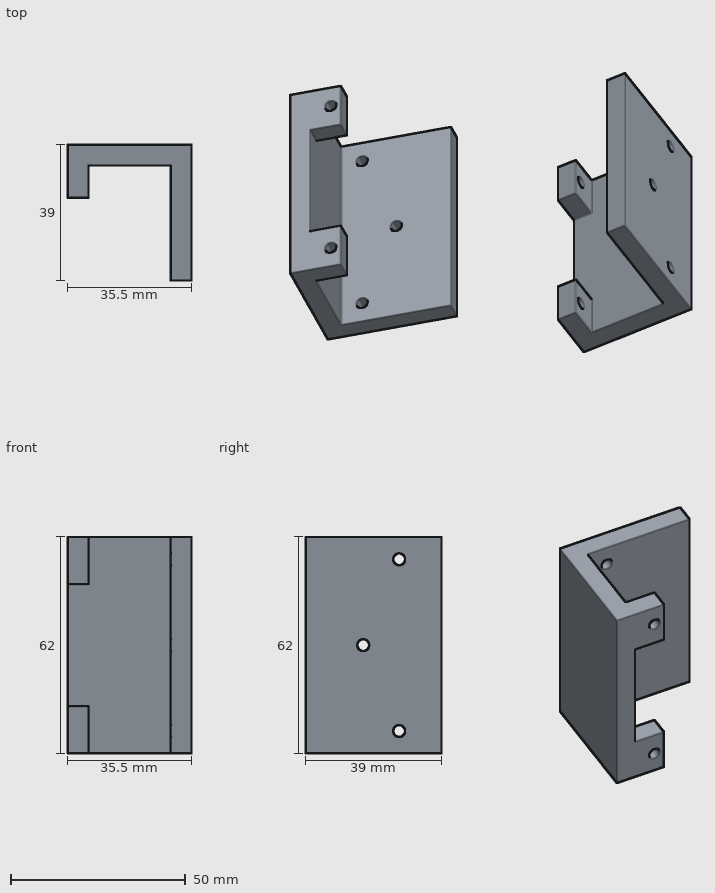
import cadquery as cq

WIDTH = 35.5
DEPTH = 39.0
HEIGHT = 62.0

WALL = 6.0
LIP_DEPTH = 15.3
LIP_HEIGHT = 13.5

HOLE_DIAMETER = 3.33
CORNER_HOLE_SETBACK = 12.2
CORNER_HOLE_END_DISTANCE = 6.4
MIDDLE_HOLE_SETBACK = 22.5

EDGE_RADIUS = 0.2


def make_channel():
    """J-shaped profile in XY, extruded over the full height; back face at Y = DEPTH."""
    outline = [
        (0, DEPTH),
        (WIDTH, DEPTH),
        (WIDTH, 0),
        (WIDTH - WALL, 0),
        (WIDTH - WALL, DEPTH - WALL),
        (WALL, DEPTH - WALL),
        (WALL, DEPTH - LIP_DEPTH),
        (0, DEPTH - LIP_DEPTH),
    ]
    return cq.Workplane("XY").polyline(outline).close().extrude(HEIGHT)


def make_lip_gap():
    """Block that removes the middle of the lip, leaving a tab at each end."""
    return cq.Workplane("XY").box(
        WALL,
        LIP_DEPTH - WALL,
        HEIGHT - 2 * LIP_HEIGHT,
        centered=False,
    ).translate((0, DEPTH - LIP_DEPTH, LIP_HEIGHT))


def make_screw_holes():
    """Corner holes run through the tabs and the side wall, the middle one through the wall only."""
    corner_y = DEPTH - CORNER_HOLE_SETBACK
    centres = [
        (corner_y, CORNER_HOLE_END_DISTANCE),
        (corner_y, HEIGHT - CORNER_HOLE_END_DISTANCE),
        (DEPTH - MIDDLE_HOLE_SETBACK, HEIGHT / 2),
    ]
    return cq.Workplane("YZ").pushPoints(centres).circle(HOLE_DIAMETER / 2).extrude(WIDTH)


bracket = make_channel().cut(make_lip_gap()).cut(make_screw_holes())
result = bracket.edges().fillet(EDGE_RADIUS)